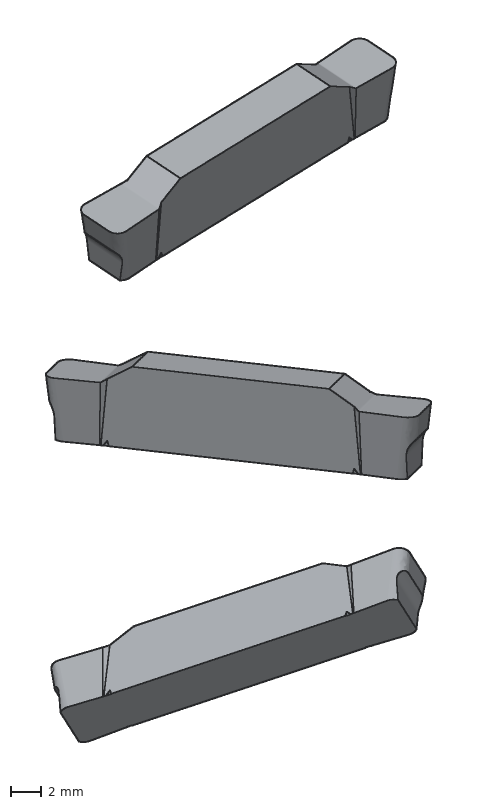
import math
import cadquery as cq

length = 26.25
height = 5.8
seat_height = 4.51
half_length = length / 2

head_half_width = 1.98
corner_radius = 0.81
head_length = 4.01
side_taper = math.radians(2.5)
body_half_width = 1.63
flare_end = 4.4

end_relief = 0.45
side_relief = 0.25
corner_growth = 0.1
head_shortening = 0.1
flare_shortening = 0.42

ramp_foot = 4.05
ramp_top = 6.2
ramp_blend_radius = 0.31

undercut_depth = 0.73
undercut_start = 1.65
undercut_radius = 1.378
undercut_angle = math.radians(53)
profile_margin = 0.25
selection_gap = 0.03

nick_start = 4.15
nick_peak = 4.43
nick_end = 4.55
nick_height = 0.37
nick_depth = 0.03


def outline(z):
    """Horizontal section through both heads and the narrow body."""
    drop = (seat_height - z) / seat_height
    radius = corner_radius + corner_growth * drop
    end_inset = end_relief * drop
    center_x = head_half_width - side_relief * drop - radius
    center_y = half_length - end_inset - radius
    rear_y = half_length - head_length + head_shortening * drop
    body_y = half_length - flare_end + flare_shortening * drop

    def on_corner(angle):
        return (center_x + radius * math.cos(angle), center_y + radius * math.sin(angle))

    front = on_corner(math.pi / 2)
    middle = on_corner((math.pi / 2 - side_taper) / 2)
    side = on_corner(-side_taper)
    rear = (side[0] - (side[1] - rear_y) * math.tan(side_taper), rear_y)
    neck = (body_half_width, body_y)

    def flip(point, x_sign, y_sign):
        return (point[0] * x_sign, point[1] * y_sign)

    sketch = cq.Workplane("XY").workplane(offset=z).moveTo(*flip(front, -1, 1))
    for x_sign, y_sign in ((1, 1), (1, -1), (-1, -1), (-1, 1)):
        points = [flip(p, x_sign, y_sign) for p in (front, middle, side, rear, neck)]
        if x_sign == y_sign:
            sketch = sketch.lineTo(*points[0]).threePointArc(points[1], points[2])
            sketch = sketch.lineTo(*points[3]).lineTo(*points[4])
        else:
            sketch = sketch.lineTo(*points[4]).lineTo(*points[3]).lineTo(*points[2])
            sketch = sketch.threePointArc(points[1], points[0])
    return sketch.close().wire().val()


def side_profile():
    """Prism across X with the ramps, seats and end undercuts."""
    wall_y = half_length - undercut_depth
    arc_y = wall_y + undercut_radius * (1 - math.cos(undercut_angle))
    arc_z = undercut_start + undercut_radius * math.sin(undercut_angle)
    mid_y = wall_y + undercut_radius * (1 - math.cos(undercut_angle / 2))
    mid_z = undercut_start + undercut_radius * math.sin(undercut_angle / 2)
    outer_y = half_length + profile_margin
    outer_z = arc_z + (outer_y - arc_y) / math.tan(undercut_angle)
    foot_y = half_length - ramp_foot
    crest_y = half_length - ramp_top

    prism = (
        cq.Workplane("YZ")
        .moveTo(-wall_y, 0)
        .lineTo(wall_y, 0)
        .lineTo(wall_y, undercut_start)
        .threePointArc((mid_y, mid_z), (arc_y, arc_z))
        .lineTo(outer_y, outer_z)
        .lineTo(outer_y, seat_height)
        .lineTo(foot_y, seat_height)
        .lineTo(crest_y, height)
        .lineTo(-crest_y, height)
        .lineTo(-foot_y, seat_height)
        .lineTo(-outer_y, seat_height)
        .lineTo(-outer_y, outer_z)
        .lineTo(-arc_y, arc_z)
        .threePointArc((-mid_y, mid_z), (-wall_y, undercut_start))
        .close()
        .extrude(head_half_width + profile_margin, both=True)
    )
    feet = cq.selectors.BoxSelector(
        (-length, -foot_y - selection_gap, seat_height - selection_gap),
        (length, foot_y + selection_gap, seat_height + selection_gap),
    )
    return prism.edges(feet).fillet(ramp_blend_radius)


def nicks():
    """Shallow triangular cuts in both body sides, one behind each head."""
    corners = [
        (half_length - nick_start, 0),
        (half_length - nick_peak, nick_height),
        (half_length - nick_end, 0),
    ]
    nick = (
        cq.Workplane("YZ")
        .workplane(offset=body_half_width - nick_depth)
        .polyline(corners)
        .close()
        .extrude(2 * nick_depth)
    )
    pair = nick.union(nick.mirror("XZ"))
    return pair.union(pair.mirror("YZ"))


tapered_body = cq.Workplane(cq.Solid.makeLoft([outline(0), outline(height)], True))
result = tapered_body.intersect(side_profile()).cut(nicks())